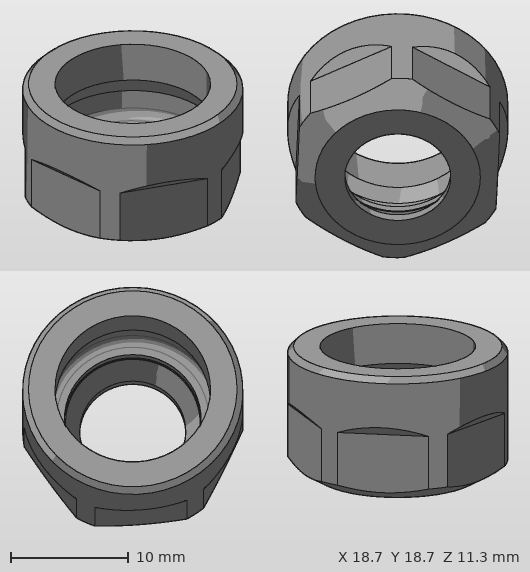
import cadquery as cq
import math

outer_radius = 9.35
height = 11.3
top_chamfer = 0.5
bottom_face_radius = 7.01
bottom_chamfer_angle = 30.0

flat_count = 6
across_flats = 17.0
flat_height = 6.02
rim_clearance = 0.19

entry_radius = 13.18 / 2
entry_depth = 3.53
relief_radius = 14.5 / 2
relief_cone_end_depth = 4.95
relief_floor_depth = 7.46
relief_corner_radius = 0.79
seat_radius = 11.6 / 2
seat_depth = 8.25
ledge_width = 0.1
throat_length = 0.13
exit_radius = 9.0 / 2
exit_taper_angle = 30.0


def make_body():
    """Turned blank with a chamfer at each end."""
    bottom_chamfer_width = outer_radius - bottom_face_radius
    bottom_chamfer_height = bottom_chamfer_width * math.tan(math.radians(bottom_chamfer_angle))
    return (
        cq.Workplane("XZ")
        .moveTo(0, 0)
        .lineTo(bottom_face_radius, 0)
        .lineTo(outer_radius, bottom_chamfer_height)
        .lineTo(outer_radius, height - top_chamfer)
        .lineTo(outer_radius - top_chamfer, height)
        .lineTo(0, height)
        .close()
        .revolve(360, (0, 0, 0), (0, 1, 0))
    )


def make_flat_cutter():
    """Block that cuts the +Y wrench flat and its 45 degree run-out."""
    flat_distance = across_flats / 2
    cutter_depth = outer_radius - flat_distance + rim_clearance
    return (
        cq.Workplane("YZ")
        .moveTo(flat_distance, 0)
        .lineTo(flat_distance, flat_height)
        .lineTo(flat_distance + cutter_depth, flat_height + cutter_depth)
        .lineTo(flat_distance + cutter_depth, 0)
        .close()
        .extrude(outer_radius, both=True)
    )


def make_bore():
    """Entry bore, undercut relief with a rounded floor corner, seat, throat, taper and straight exit."""
    relief_floor = height - relief_floor_depth
    seat_bottom = height - seat_depth
    throat_radius = seat_radius - ledge_width
    taper_start = seat_bottom - throat_length
    taper_height = (throat_radius - exit_radius) / math.tan(math.radians(exit_taper_angle))
    corner_centre_radius = relief_radius - relief_corner_radius
    corner_centre_height = relief_floor + relief_corner_radius
    corner_offset = relief_corner_radius * math.sqrt(0.5)
    return (
        cq.Workplane("XZ")
        .moveTo(0, height)
        .lineTo(entry_radius, height)
        .lineTo(entry_radius, height - entry_depth)
        .lineTo(relief_radius, height - relief_cone_end_depth)
        .lineTo(relief_radius, corner_centre_height)
        .threePointArc(
            (corner_centre_radius + corner_offset, corner_centre_height - corner_offset),
            (corner_centre_radius, relief_floor),
        )
        .lineTo(seat_radius, relief_floor)
        .lineTo(seat_radius, seat_bottom)
        .lineTo(throat_radius, seat_bottom)
        .lineTo(throat_radius, taper_start)
        .lineTo(exit_radius, taper_start - taper_height)
        .lineTo(exit_radius, 0)
        .lineTo(0, 0)
        .close()
        .revolve(360, (0, 0, 0), (0, 1, 0))
    )


result = make_body()
flat_cutter = make_flat_cutter()
for index in range(flat_count):
    angle = index * 360 / flat_count
    result = result.cut(flat_cutter.rotate((0, 0, 0), (0, 0, 1), angle))
result = result.cut(make_bore())